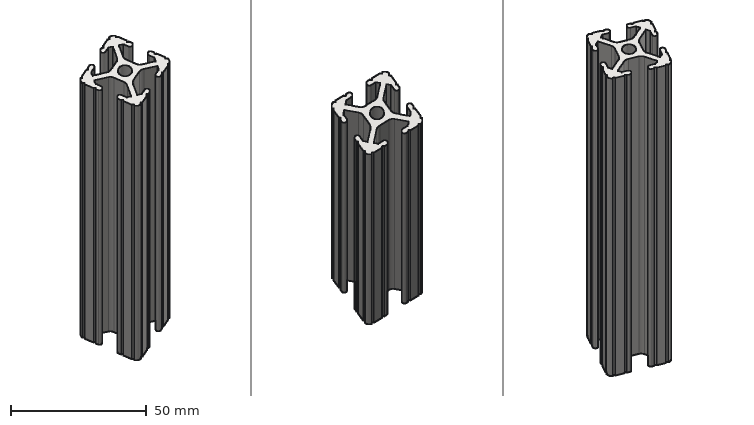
import cadquery as cq
import math

length = 152.4
side = 25.5
corner_radius = 2.3
bore_diameter = 5.2

slot_opening = 6.5
lip_thickness = 2.1
cavity_width = 15.5
core_width = 9.6
web_thickness = 2.3
core_fillet = 2.7

groove_radius = 0.5
groove_offsets = (5.8, 10.4)

half_side = side / 2
half_core = core_width / 2
half_opening = slot_opening / 2
half_cavity = cavity_width / 2
lip_inner = half_side - lip_thickness
web_shift = web_thickness / math.sqrt(2)
cavity_end_sum = 2 * half_cavity + web_shift


def slot_cutter():
    """T-slot open towards +Y, with a blended core face."""
    core_corner_x = half_core - web_shift
    right_half = [
        (core_corner_x, half_core),
        (half_cavity, half_cavity + web_shift),
        (cavity_end_sum - lip_inner, lip_inner),
        (half_opening, lip_inner),
        (half_opening, half_side),
    ]
    left_half = [(-x, y) for x, y in reversed(right_half)]
    cutter = cq.Workplane("XY").polyline(right_half + left_half).close().extrude(length)

    for edge_x in (core_corner_x, -core_corner_x):
        edge = cq.selectors.NearestToPointSelector((edge_x, half_core, length / 2))
        cutter = cutter.edges("|Z").edges(edge).fillet(core_fillet)
    return cutter


def lip_rounding_cutters():
    """Corner waste beside the full-round tips of the two lips at the +Y slot."""
    lip_radius = lip_thickness / 2
    round_center_x = half_opening + lip_radius
    round_center_y = half_side - lip_radius
    waste = None
    for sign in (-1, 1):
        block = (
            cq.Workplane("XY")
            .center(sign * (half_opening + lip_radius / 2), round_center_y)
            .rect(lip_radius, lip_thickness)
            .extrude(length)
        )
        rod = (
            cq.Workplane("XY")
            .center(sign * round_center_x, round_center_y)
            .circle(lip_radius)
            .extrude(length)
        )
        tip_waste = block.cut(rod)
        waste = tip_waste if waste is None else waste.union(tip_waste)
    return waste


def groove_cutters():
    """Grooves along the +Y face, mirrored about the slot."""
    centers = [(sign * x, half_side) for x in groove_offsets for sign in (-1, 1)]
    return cq.Workplane("XY").pushPoints(centers).circle(groove_radius).extrude(length)


bar = cq.Workplane("XY").rect(side, side).extrude(length).edges("|Z").fillet(corner_radius)
bar = bar.cut(cq.Workplane("XY").circle(bore_diameter / 2).extrude(length))

slot = slot_cutter()
lip_rounding = lip_rounding_cutters()
grooves = groove_cutters()
for angle in (0, 90, 180, 270):
    for cutter in (slot, lip_rounding, grooves):
        bar = bar.cut(cutter.rotate((0, 0, 0), (0, 0, 1), angle))

result = bar